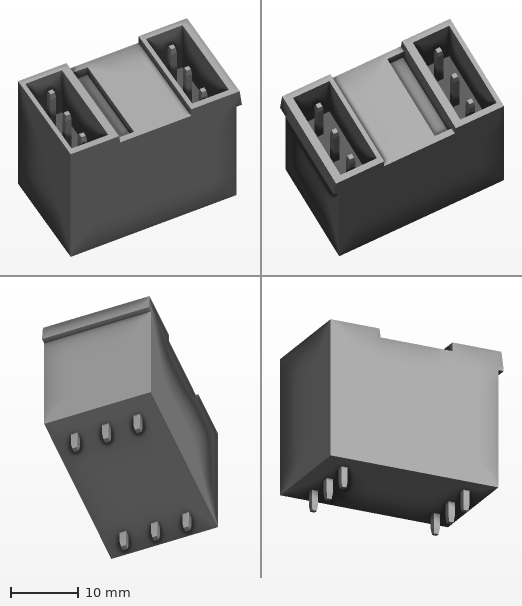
import cadquery as cq

WIDTH = 17.0
LENGTH = 27.8
HEIGHT = 22.0

SOCKET_PITCH = 20.2
SOCKET_LENGTH = 8.12
RIM_SIDE = 1.0
RIM_FRONT = 0.7
CAVITY_LENGTH = 6.15
CAVITY_DEPTH = 9.0
CAVITY_WIDTH = WIDTH - 2 * RIM_SIDE

LIP_SLOPE_RUN = 0.37
LIP_HEIGHT = 3.07
LIP_REAR = SOCKET_LENGTH + LIP_SLOPE_RUN

RECESS_DEPTH = 1.4
SLOT_DEPTH = LIP_HEIGHT
SLOT_REAR = 11.13

PIN_SIZE = 1.03
PIN_TIP_SIZE = 0.75
PIN_PITCH = 5.0
PINS_PER_ROW = 3
PIN_ROW_Y = 3.8
PIN_TAIL = 3.2
PIN_TOP_GAP = 0.85
PIN_TAPER = 1.0

SOCKET_FRONTS = [0, SOCKET_PITCH]


def make_profile():
    """Side profile of the housing with the recess and the rear lip, extruded across X."""
    recess_z = HEIGHT - RECESS_DEPTH
    recess_run = LIP_SLOPE_RUN * RECESS_DEPTH / LIP_HEIGHT
    outline = [
        (0, 0),
        (LENGTH, 0),
        (LENGTH, HEIGHT - LIP_HEIGHT),
        (SOCKET_PITCH + LIP_REAR, HEIGHT - LIP_HEIGHT),
        (SOCKET_PITCH + SOCKET_LENGTH, HEIGHT),
        (SOCKET_PITCH, HEIGHT),
        (SOCKET_PITCH, recess_z),
        (SOCKET_LENGTH + recess_run, recess_z),
        (SOCKET_LENGTH, HEIGHT),
        (0, HEIGHT),
    ]
    return cq.Workplane("YZ").polyline(outline).close().extrude(WIDTH / 2, both=True)


def make_cavity(socket_front):
    """Open-topped rectangular cavity of one socket."""
    center_y = socket_front + RIM_FRONT + CAVITY_LENGTH / 2
    return (
        cq.Workplane("XY", origin=(0, center_y, HEIGHT - CAVITY_DEPTH))
        .rect(CAVITY_WIDTH, CAVITY_LENGTH)
        .extrude(CAVITY_DEPTH)
    )


def make_latch_slot():
    """Slot behind the front socket; its front wall carries on the slope of the lip."""
    outline = [
        (SOCKET_LENGTH, HEIGHT),
        (SLOT_REAR, HEIGHT),
        (SLOT_REAR, HEIGHT - SLOT_DEPTH),
        (LIP_REAR, HEIGHT - SLOT_DEPTH),
    ]
    return cq.Workplane("YZ").polyline(outline).close().extrude(CAVITY_WIDTH / 2, both=True)


def make_pin(x, y):
    """Square pin with both ends tapered."""
    shaft_bottom = PIN_TAPER - PIN_TAIL
    shaft_top = HEIGHT - PIN_TOP_GAP - PIN_TAPER
    tail_end = (
        cq.Workplane("XY", origin=(x, y, -PIN_TAIL))
        .rect(PIN_TIP_SIZE, PIN_TIP_SIZE)
        .workplane(offset=PIN_TAPER)
        .rect(PIN_SIZE, PIN_SIZE)
        .loft(ruled=True)
    )
    shaft = (
        cq.Workplane("XY", origin=(x, y, shaft_bottom))
        .rect(PIN_SIZE, PIN_SIZE)
        .extrude(shaft_top - shaft_bottom)
    )
    top_end = (
        cq.Workplane("XY", origin=(x, y, shaft_top))
        .rect(PIN_SIZE, PIN_SIZE)
        .workplane(offset=PIN_TAPER)
        .rect(PIN_TIP_SIZE, PIN_TIP_SIZE)
        .loft(ruled=True)
    )
    return shaft.union(tail_end).union(top_end)


pins = []
for socket_front in SOCKET_FRONTS:
    for column in range(PINS_PER_ROW):
        pin_x = (column - (PINS_PER_ROW - 1) / 2) * PIN_PITCH
        pins.append(make_pin(pin_x, socket_front + PIN_ROW_Y))

housing = make_profile().cut(make_latch_slot())
for socket_front in SOCKET_FRONTS:
    housing = housing.cut(make_cavity(socket_front))
for pin in pins:
    housing = housing.cut(pin)

result = cq.Compound.makeCompound([housing.val(), *[pin.val() for pin in pins]])